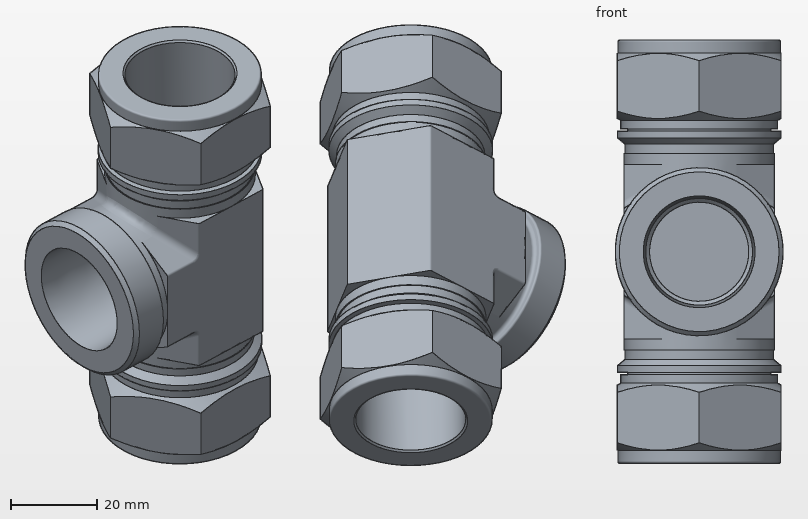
import cadquery as cq
import math

run_half_length = 49.1
body_across_flats = 35.0
body_half_height = 20.2

hex_half_angle = math.radians(30)
tolerance = 0.001

branch_hex_end = 20.1
branch_collar_start = 23.0
branch_end = 31.8
branch_collar_diameter = 39.0
branch_root_fillet = 0.9
branch_collar_back_fillet = 0.5
branch_collar_front_chamfer = 1.0

socket_mouth_diameter = 25.9
socket_taper_diameter = 24.8
socket_floor_diameter = 23.0
socket_taper_depth = 17.3

neck_start = 22.8
neck_diameter = 34.5
flange_start = 25.0
flange_rim_start = 26.4
flange_end = 28.0
flange_diameter = 38.0
gap_diameter = 33.3
nut_start = 28.5
nut_hex_top = 46.1
nut_hex_bottom = 30.5
nut_across_flats = 38.0
nut_base_diameter = 36.5
nut_crown_diameter = 37.8
nut_crown_fillet = 0.5
nut_chamfer_angle = 30.0

bore_diameter = 25.6
bore_mouth_diameter = 26.4
bore_depth = 24.6

hex_corner_fillet = 0.7
seam_fillet = 2.0


def body_outline(plane, rounded_back):
    """Hexagon with flats facing +X and -X; an inscribed arc replaces one tip, or both if rounded_back."""
    radius = body_across_flats / 2
    corner = radius * math.tan(hex_half_angle)
    tangent_x = radius * math.sin(hex_half_angle)
    tangent_y = radius * math.cos(hex_half_angle)
    outline = (
        cq.Workplane(plane)
        .moveTo(radius, corner)
        .lineTo(radius, -corner)
        .lineTo(tangent_x, -tangent_y)
        .threePointArc((0, -radius), (-tangent_x, -tangent_y))
        .lineTo(-radius, -corner)
        .lineTo(-radius, corner)
    )
    if rounded_back:
        outline = outline.lineTo(-tangent_x, tangent_y).threePointArc((0, radius), (tangent_x, tangent_y))
    else:
        outline = outline.lineTo(0, radius / math.cos(hex_half_angle))
    return outline.close()


def is_seam(edge):
    """The front faces of run and branch meet in the diagonal planes y = -|z|."""
    points = (edge.startPoint(), edge.Center(), edge.endPoint())
    return all(point.y < 0 and abs(point.y + abs(point.z)) < tolerance for point in points)


def is_side_corner(edge):
    """Long hexagon corners that border the flats facing +X and -X."""
    if edge.geomType() != "LINE" or abs(abs(edge.Center().x) - body_across_flats / 2) > tolerance:
        return False
    corner = body_across_flats / 2 * math.tan(hex_half_angle)
    middle = edge.Center()
    along_z = abs(edge.tangentAt(0).z) > 1 - tolerance and abs(abs(middle.y) - corner) < tolerance
    along_y = abs(edge.tangentAt(0).y) > 1 - tolerance and abs(abs(middle.z) - corner) < tolerance
    return along_z or along_y


def fillet_where(solid, condition, radius):
    """Fillet every edge that meets the condition."""
    chosen = [edge for edge in solid.edges().vals() if condition(edge)]
    return solid.newObject(chosen).fillet(radius)


def make_body():
    run = body_outline("XY", False).extrude(body_half_height, both=True)
    branch = body_outline("XZ", True).extrude(branch_hex_end)
    body = fillet_where(run.union(branch), is_seam, seam_fillet)
    return fillet_where(body, is_side_corner, hex_corner_fillet)


def revolve_profile(points):
    """Turn a closed (radius, height) profile around Z."""
    return cq.Workplane("XZ").polyline(points).close().revolve(360, (0, 0), (0, 1))


def make_run_neck():
    """Round neck with the stop flange and the gap below the nut, pointing up."""
    neck, flange, gap = neck_diameter / 2, flange_diameter / 2, gap_diameter / 2
    body = body_across_flats / 2
    return revolve_profile([
        (0, 0), (body, 0), (body, neck_start), (neck, neck_start), (neck, flange_start),
        (flange, flange_rim_start), (flange, flange_end), (gap, flange_end), (gap, nut_start), (0, nut_start),
    ])


def make_nut():
    """Hexagon with conical chamfers above and below, between a round base and a round crown."""
    base, crown = nut_base_diameter / 2, nut_crown_diameter / 2
    tip = nut_across_flats / 2 / math.cos(hex_half_angle)
    slope = math.tan(math.radians(nut_chamfer_angle))
    hexagon = (
        cq.Workplane("XY")
        .workplane(offset=nut_hex_bottom)
        .polygon(6, 2 * tip)
        .extrude(nut_hex_top - nut_hex_bottom)
        .rotate((0, 0, 0), (0, 0, 1), math.degrees(hex_half_angle))
    )
    chamfer_envelope = revolve_profile([
        (0, nut_hex_bottom), (base, nut_hex_bottom), (tip, nut_hex_bottom + (tip - base) * slope),
        (tip, nut_hex_top - (tip - crown) * slope), (crown, nut_hex_top), (0, nut_hex_top),
    ])
    base_ring = cq.Workplane("XY").workplane(offset=nut_start).circle(base).extrude(nut_hex_bottom - nut_start)
    crown_ring = (
        cq.Workplane("XY")
        .workplane(offset=nut_hex_top)
        .circle(crown)
        .extrude(run_half_length - nut_hex_top)
        .faces(">Z")
        .edges()
        .fillet(nut_crown_fillet)
    )
    return hexagon.intersect(chamfer_envelope).union(base_ring).union(crown_ring)


def make_tube_bore():
    bore, mouth = bore_diameter / 2, bore_mouth_diameter / 2
    floor = run_half_length - bore_depth
    return revolve_profile([
        (0, floor), (bore, floor), (bore, run_half_length - (mouth - bore)), (mouth, run_half_length),
        (0, run_half_length),
    ])


def make_run_end():
    return make_run_neck().union(make_nut())


def toward_front(solid):
    """Swing a solid built along +Z so that it points toward -Y."""
    return solid.rotate((0, 0, 0), (1, 0, 0), 90)


def make_branch_end():
    """Round neck and collar, with a fillet where they meet, a rounded back rim and a chamfered front rim."""
    neck, collar = body_across_flats / 2, branch_collar_diameter / 2
    root, back, front = branch_root_fillet, branch_collar_back_fillet, branch_collar_front_chamfer
    return (
        cq.Workplane("XZ")
        .lineTo(neck, 0)
        .lineTo(neck, branch_collar_start - root)
        .radiusArc((neck + root, branch_collar_start), root)
        .lineTo(collar - back, branch_collar_start)
        .radiusArc((collar, branch_collar_start + back), -back)
        .lineTo(collar, branch_end - front)
        .lineTo(collar - front, branch_end)
        .lineTo(0, branch_end)
        .close()
        .revolve(360, (0, 0), (0, 1))
    )


def make_socket():
    mouth, taper, floor = socket_mouth_diameter / 2, socket_taper_diameter / 2, socket_floor_diameter / 2
    taper_end = branch_end - socket_taper_depth
    bottom = taper_end - (taper - floor)
    return revolve_profile([
        (0, bottom), (floor, bottom), (taper, taper_end), (mouth, branch_end), (0, branch_end),
    ])


run_end = make_run_end()
tube_bore = make_tube_bore()

result = make_body().union(toward_front(make_branch_end()))
for end, bore in ((run_end, tube_bore), (run_end.mirror("XY"), tube_bore.mirror("XY"))):
    result = result.union(end).cut(bore)
result = result.cut(toward_front(make_socket()))